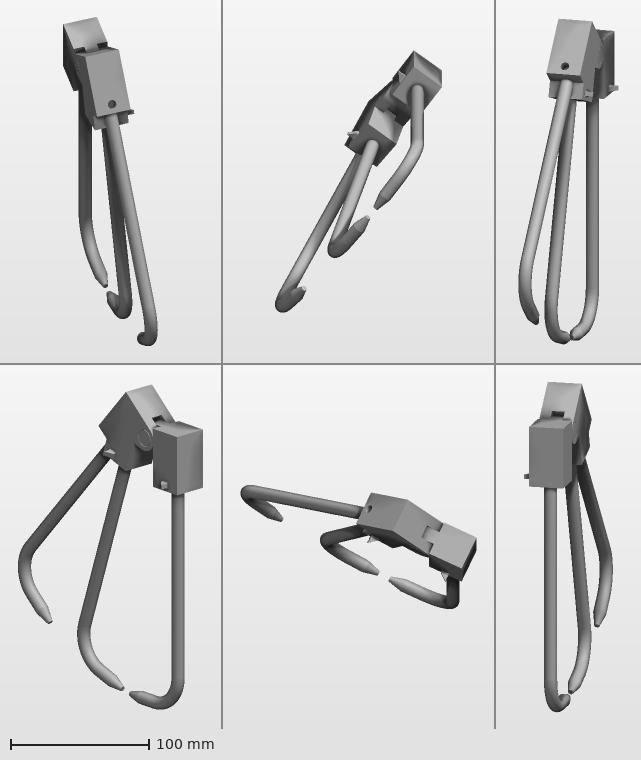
import cadquery as cq
import math


overall_height = 240.2

block_depth = 25.5
block_height = 44.5
fixed_width = 26.0
arm_width = 25.5
lug_radius = 9.5
block_top = lug_radius
block_bottom = block_top - block_height
fixed_inner_x = -9.1
fixed_outer_x = fixed_inner_x - fixed_width
fixed_center_x = fixed_inner_x - fixed_width / 2
arm_inner_x = lug_radius
arm_outer_x = arm_inner_x + arm_width
arm_center_x = arm_inner_x + arm_width / 2
tongue_depth = 9.5

pin_diameter = 12.0
pin_hole_diameter = 12.7

screw_diameter = 6.2
screw_hole_depth = 8.0
screw_height = 6.5
screw_z = block_bottom + screw_height

closed_angle = 18.3
open_angle = 41.6

rod_diameter = 9.5
bend_radius = 25.0
finger_length = 14.5
cone_length = 11.3
tip_diameter = 3.8
open_tilt = math.radians(open_angle)
assembly_top = arm_outer_x * math.sin(open_tilt) + block_top * math.cos(open_tilt)
rod_bottom = assembly_top - overall_height
bend_start_z = rod_bottom + rod_diameter / 2 + bend_radius

hook_width = 5.8
hook_height = 6.2
hook_edge_height = 1.5
hook_thickness = 3.4
hook_foot_height = 1.5
hook_foot_flare = 0.7
hook_groove_width = 1.5
hook_groove_depth = 0.2
hook_groove_height = 3.4
hook_z = -30.0
fixed_hook_x = -25.0
arm_hook_x = 29.3


def box_between(x_min, x_max, z_min, z_max, depth):
    """Box centred on Y = 0."""
    center = ((x_min + x_max) / 2, 0, (z_min + z_max) / 2)
    return cq.Workplane("XY").box(x_max - x_min, depth, z_max - z_min).translate(center)


def hinge_cylinder(diameter, depth):
    """Cylinder on the hinge axis, centred on Y = 0."""
    return cq.Workplane("XZ").circle(diameter / 2).extrude(depth / 2, both=True)


def swing(body, angle):
    """Lift a body about the hinge axis, from +X towards +Z."""
    return body.rotate((0, 0, 0), (0, 1, 0), -angle)


def screw_cylinder(face_x, inward):
    """Cylinder going into a block from its outer side face."""
    start = cq.Workplane("YZ", origin=(face_x, 0, screw_z))
    return start.circle(screw_diameter / 2).extrude(inward * screw_hole_depth)


def make_hook(upright_x, slope_direction):
    """Barb on a back face: upright grooved side, sloping side and a flared foot."""
    back_y = block_depth / 2

    barb = (
        cq.Workplane("XY", origin=(0, back_y, -hook_thickness / 2))
        .polyline([
            (0, 0),
            (hook_width, 0),
            (hook_width, hook_edge_height),
            (0, hook_height),
        ])
        .close()
        .extrude(hook_thickness)
    )
    groove = cq.Workplane("XY", origin=(0, back_y + hook_groove_height, 0))
    groove = groove.box(2 * hook_groove_depth, hook_groove_width, hook_thickness)

    half_thickness = hook_thickness / 2
    foot = (
        cq.Workplane("YZ")
        .polyline([
            (back_y, -half_thickness - hook_foot_flare),
            (back_y, half_thickness + hook_foot_flare),
            (back_y + hook_foot_height, half_thickness),
            (back_y + hook_foot_height, -half_thickness),
        ])
        .close()
        .extrude(hook_width)
    )

    hook = barb.cut(groove).union(foot)
    if slope_direction < 0:
        hook = hook.mirror("YZ")
    return hook.translate((upright_x, 0, hook_z))


def make_fixed_block():
    """Upright block with a round-ended hinge tongue, a screw hole and a hook."""
    block = box_between(fixed_outer_x, fixed_inner_x, block_bottom, block_top, block_depth)
    tongue = box_between(fixed_inner_x, 0, -lug_radius, lug_radius, tongue_depth)
    tongue = tongue.union(hinge_cylinder(2 * lug_radius, tongue_depth))
    tongue = tongue.cut(hinge_cylinder(pin_diameter, block_depth))
    block = block.union(tongue)
    block = block.cut(screw_cylinder(fixed_outer_x, 1))
    return block.union(make_hook(fixed_hook_x, 1))


def make_arm_block():
    """Arm block in its unswung position: a block with a forked hinge lug."""
    block = box_between(arm_inner_x, arm_outer_x, block_bottom, block_top, block_depth)
    lug = box_between(0, arm_inner_x, -lug_radius, lug_radius, block_depth)
    lug = lug.union(hinge_cylinder(2 * lug_radius, block_depth))
    lug = lug.cut(box_between(-lug_radius, arm_inner_x, -lug_radius, lug_radius, tongue_depth))
    return block.union(lug).cut(hinge_cylinder(pin_hole_diameter, block_depth))


def make_open_arm():
    """Arm swung fully open, with an empty screw hole in its outer side."""
    arm = make_arm_block().cut(screw_cylinder(arm_outer_x, -1))
    return swing(arm, open_angle).cut(fixed_block)


def make_closed_arm():
    """Lower arm: the part of an arm block left free by the open arm and its rod."""
    arm = make_arm_block().union(make_hook(arm_hook_x, -1))
    arm = swing(arm, closed_angle).cut(fixed_block).cut(open_arm).cut(open_rod)
    return cq.Workplane(max(arm.solids().vals(), key=cq.Shape.Volume))


def make_rod(center_x, bend_direction):
    """Round rod below a block: straight shank, quarter bend, short finger and conical tip."""
    bend_center_x = center_x + bend_direction * bend_radius
    finger_z = bend_start_z - bend_radius
    middle = bend_radius * math.sqrt(0.5)
    finger_end_x = bend_center_x + bend_direction * finger_length
    path = (
        cq.Workplane("XZ")
        .moveTo(center_x, block_bottom)
        .lineTo(center_x, bend_start_z)
        .threePointArc(
            (bend_center_x - bend_direction * middle, bend_start_z - middle),
            (bend_center_x, finger_z),
        )
        .lineTo(finger_end_x, finger_z)
    )
    rod = (
        cq.Workplane("XY", origin=(center_x, 0, block_bottom))
        .circle(rod_diameter / 2)
        .sweep(path)
    )
    cone = cq.Solid.makeCone(
        rod_diameter / 2,
        tip_diameter / 2,
        cone_length,
        cq.Vector(finger_end_x, 0, finger_z),
        cq.Vector(bend_direction, 0, 0),
    )
    return rod.union(cq.Workplane(cone))


fixed_block = make_fixed_block()
hinge_pin = hinge_cylinder(pin_diameter, block_depth)
screw = screw_cylinder(fixed_outer_x, 1)

fixed_rod = make_rod(fixed_center_x, 1)
open_rod = swing(make_rod(arm_center_x, -1), open_angle)
closed_rod = swing(make_rod(arm_center_x, -1), closed_angle)

open_arm = make_open_arm()
closed_arm = make_closed_arm()

bodies = [
    fixed_block,
    open_arm,
    closed_arm,
    hinge_pin,
    screw,
    fixed_rod,
    open_rod,
    closed_rod,
]
result = cq.Compound.makeCompound([body.solids().val() for body in bodies])